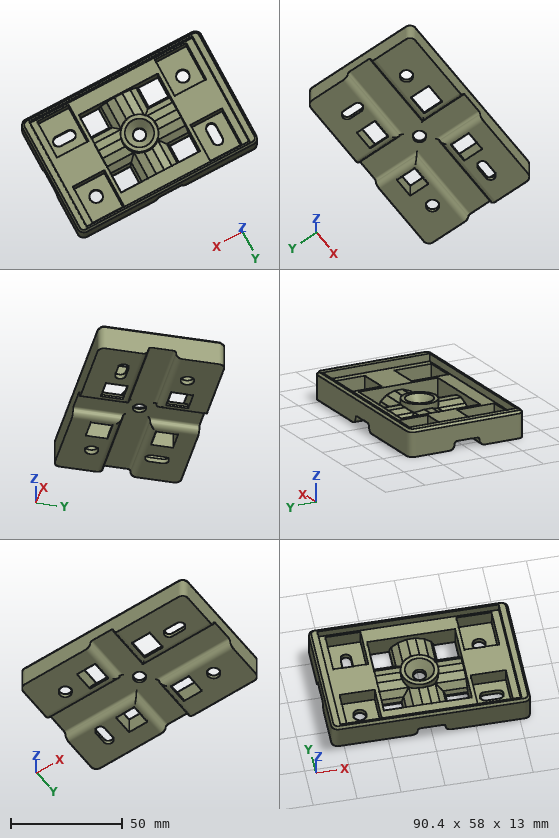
import cadquery as cq

LENGTH = 90.4
WIDTH = 58.0
HEIGHT = 13.0
CORNER_RADIUS = 3.0
TOP_CHAMFER = 1.2
TOP_CHAMFER_INSET = 1.0

RECESS_LENGTH = 82.5
RECESS_WIDTH = 54.2
DECK_Z = 9.35

POCKET_LENGTH = 16.0
POCKET_WIDTH = 18.7
POCKET_X = 29.8
POCKET_Y = 16.85
POCKET_FLOOR_Z = 2.35
SCREW_X = 30.0
SCREW_Y = 15.0
SCREW_HOLE_DIAMETER = 6.0
SLOT_WIDTH = 4.8
SLOT_LENGTH = 10.8

WINDOW = 40.0
ARM_HALF_PROFILE = [(10.0, 0.0), (10.0, 1.0), (9.0, 3.0), (6.0, 5.5), (2.0, 6.95)]

BOSS_DIAMETER = 17.0
BOSS_HOLE_DIAMETER = 5.9
COUNTERSINK_DIAMETER = 13.1
COUNTERSINK_DEPTH = 3.6

CHANNEL_HEIGHT = 4.0
CHANNEL_HALF_WIDTH = 6.3
CHANNEL_MOUTH_RADIUS = 2.75
CHANNEL_ROOF_RADIUS = CHANNEL_HEIGHT - CHANNEL_MOUTH_RADIUS


def box_from(z, length, width, x=0.0, y=0.0):
    """Cutting box centred at (x, y), reaching from height z to the top."""
    return (
        cq.Workplane("XY", origin=(x, y, z))
        .rect(length, width)
        .extrude(HEIGHT - z)
    )


def make_frame():
    block = (
        cq.Workplane("XY")
        .rect(LENGTH, WIDTH)
        .extrude(HEIGHT)
        .edges("|Z")
        .fillet(CORNER_RADIUS)
    )
    block = block.faces(">Z").edges().chamfer(TOP_CHAMFER, TOP_CHAMFER_INSET)
    recess = box_from(DECK_Z, RECESS_LENGTH, RECESS_WIDTH)
    window = box_from(0.0, WINDOW, WINDOW)
    return block.cut(recess).cut(window)


def make_arm():
    """Faceted bar along X that spans the window."""
    mirrored = [(-y, z) for y, z in reversed(ARM_HALF_PROFILE)]
    return (
        cq.Workplane("YZ")
        .polyline(ARM_HALF_PROFILE + mirrored)
        .close()
        .extrude(WINDOW / 2, both=True)
    )


def make_channel():
    """Cutter along X with rounded roof corners and flared mouth edges."""
    mouth = CHANNEL_HALF_WIDTH + CHANNEL_MOUTH_RADIUS
    roof = CHANNEL_HALF_WIDTH - CHANNEL_ROOF_RADIUS
    return (
        cq.Workplane("YZ")
        .moveTo(-mouth, 0.0)
        .lineTo(mouth, 0.0)
        .radiusArc((CHANNEL_HALF_WIDTH, CHANNEL_MOUTH_RADIUS), CHANNEL_MOUTH_RADIUS)
        .radiusArc((roof, CHANNEL_HEIGHT), -CHANNEL_ROOF_RADIUS)
        .lineTo(-roof, CHANNEL_HEIGHT)
        .radiusArc((-CHANNEL_HALF_WIDTH, CHANNEL_MOUTH_RADIUS), -CHANNEL_ROOF_RADIUS)
        .radiusArc((-mouth, 0.0), CHANNEL_MOUTH_RADIUS)
        .close()
        .extrude(LENGTH, both=True)
    )


def turned(body):
    """Same body turned from the X direction to the Y direction."""
    return body.rotate((0, 0, 0), (0, 0, 1), 90)


def cut_pockets(body):
    for x_side in (-1, 1):
        for y_side in (-1, 1):
            body = body.cut(box_from(
                POCKET_FLOOR_Z, POCKET_LENGTH, POCKET_WIDTH,
                x_side * POCKET_X, y_side * POCKET_Y,
            ))
    return body


def cut_screw_openings(body):
    holes = (
        cq.Workplane("XY")
        .pushPoints([(-SCREW_X, -SCREW_Y), (SCREW_X, SCREW_Y)])
        .circle(SCREW_HOLE_DIAMETER / 2)
        .extrude(HEIGHT)
    )
    upright_slot = (
        cq.Workplane("XY", origin=(-SCREW_X, SCREW_Y, 0))
        .slot2D(SLOT_LENGTH, SLOT_WIDTH, 90)
        .extrude(HEIGHT)
    )
    level_slot = (
        cq.Workplane("XY", origin=(SCREW_X, -SCREW_Y, 0))
        .slot2D(SLOT_LENGTH, SLOT_WIDTH)
        .extrude(HEIGHT)
    )
    return body.cut(holes).cut(upright_slot).cut(level_slot)


def make_boss():
    return cq.Workplane("XY").circle(BOSS_DIAMETER / 2).extrude(DECK_Z)


def make_countersink():
    """Through-hole with a conical seat opening at the boss top."""
    hole_radius = BOSS_HOLE_DIAMETER / 2
    return (
        cq.Workplane("XZ")
        .polyline([
            (0.0, 0.0),
            (hole_radius, 0.0),
            (hole_radius, DECK_Z - COUNTERSINK_DEPTH),
            (COUNTERSINK_DIAMETER / 2, DECK_Z),
            (0.0, DECK_Z),
        ])
        .close()
        .revolve(360, (0, 0, 0), (0, 1, 0))
    )


arm = make_arm()
channel = make_channel()

body = cut_screw_openings(cut_pockets(make_frame()))
body = body.union(arm).union(turned(arm)).union(make_boss())
body = body.cut(channel).cut(turned(channel))
result = body.cut(make_countersink())